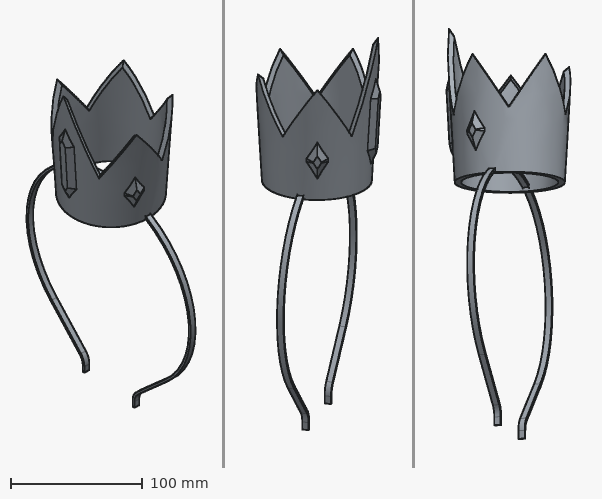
import cadquery as cq
import math

base_z = 192.8
crown_top_z = 314.5
base_radius = 41.8
top_radius = 48.8
base_inner_radius = 36.8
top_inner_radius = 45.0
peak_count = 5
side_peak_z = 284.7
valley_z = 242.5
front_angle = -90.0
peak_step = 360.0 / peak_count
cone_slope = (top_radius - base_radius) / (crown_top_z - base_z)
cut_clearance = 3.0

gem_height = 3.8
gem_root = 1.0
gem_half_width = 8.5
facet_half_width = 3.0
front_gem_z = 246.0
front_gem_tip = 37.0
front_gem_shoulder = 21.5
front_facet_tip = 25.5
front_facet_shoulder = 20.5
side_gem_z = 226.0
side_gem_tip = 17.5
side_gem_shoulder = 1.3
side_facet_tip = 5.5
side_facet_shoulder = 0.3

band_span = 185.3
band_thickness = 2.2
band_width = 5.0
band_center_z = 113.2
band_end_spacing = 56.3
bend_radius = 13.2
leg_angle = 45.0
band_radius = (band_span - band_thickness) / 2
band_end_x = band_end_spacing / 2


def cone_radius(z):
    """Outer radius of the crown at height z."""
    return base_radius + cone_slope * (z - base_z)


def radial_plane(angle, z=0.0, distance=0.0, tilt=0.0):
    """Plane facing outward at an angle about Z; its x is tangential, its y points up."""
    a = math.radians(angle)
    t = math.radians(tilt)
    return cq.Plane(
        origin=(distance * math.cos(a), distance * math.sin(a), z),
        xDir=(-math.sin(a), math.cos(a), 0),
        normal=(math.cos(a) * math.cos(t), math.sin(a) * math.cos(t), -math.sin(t)),
    )


def peak_height(index):
    """Peak 0 is the tall one at the front."""
    return crown_top_z if index % peak_count == 0 else side_peak_z


def make_outer_cone():
    height = crown_top_z - base_z
    return cq.Workplane("XY").add(
        cq.Solid.makeCone(base_radius, top_radius, height, cq.Vector(0, 0, base_z))
    )


def make_notch(index):
    """V-shaped cutter between peak `index` and the next one."""
    cut_top_z = crown_top_z + cut_clearance
    half_angle = math.radians(peak_step / 2)

    def reach(peak_z):
        """Sideways reach at the cutter's top of an edge running from the valley through a peak."""
        peak_offset = cone_radius(peak_z) * math.sin(half_angle)
        return peak_offset * (cut_top_z - valley_z) / (peak_z - valley_z)

    angle = front_angle + (index + 0.5) * peak_step
    return (
        cq.Workplane(radial_plane(angle))
        .moveTo(0, valley_z)
        .lineTo(reach(peak_height(index + 1)), cut_top_z)
        .lineTo(-reach(peak_height(index)), cut_top_z)
        .close()
        .extrude(top_radius + cut_clearance)
    )


def make_crown(band):
    crown = (
        cq.Workplane("XZ")
        .polyline([
            (base_inner_radius, base_z),
            (base_radius, base_z),
            (top_radius, crown_top_z),
            (top_inner_radius, crown_top_z),
        ])
        .close()
        .revolve(360, (0, 0, 0), (0, 1, 0))
    )
    for index in range(peak_count):
        crown = crown.cut(make_notch(index))
    return crown.cut(band)


def hexagon(half_width, shoulder, tip):
    """Upright hexagon with pointed ends and straight sides."""
    return [
        (0, tip),
        (half_width, shoulder),
        (half_width, -shoulder),
        (0, -tip),
        (-half_width, -shoulder),
        (-half_width, shoulder),
    ]


def make_gem(angle, z, girdle, facet):
    """Bevelled stone from its girdle outline up to its flat facet, trimmed to the crown surface."""
    tilt = math.degrees(math.atan(cone_slope))
    stone = (
        cq.Workplane(radial_plane(angle, z, cone_radius(z), tilt))
        .workplane(offset=-gem_root)
        .polyline(girdle)
        .close()
        .workplane(offset=gem_root + gem_height)
        .polyline(facet)
        .close()
        .loft(ruled=True)
    )
    return stone.cut(make_outer_cone())


def make_front_gem():
    girdle = hexagon(gem_half_width, front_gem_shoulder, front_gem_tip)
    facet = hexagon(facet_half_width, front_facet_shoulder, front_facet_tip)
    return make_gem(front_angle, front_gem_z, girdle, facet)


def make_side_gem(angle):
    girdle = hexagon(gem_half_width, side_gem_shoulder, side_gem_tip)
    facet = hexagon(facet_half_width, side_facet_shoulder, side_facet_tip)
    return make_gem(angle, side_gem_z, girdle, facet)


def make_headband():
    lean = math.radians(leg_angle)
    arc_end_x = band_radius * math.cos(lean)
    arc_end_z = band_center_z - band_radius * math.sin(lean)
    corner_z = arc_end_z - (arc_end_x - band_end_x) / math.tan(lean)
    bend_z = corner_z - bend_radius * math.tan(lean / 2)
    bend_x = band_end_x + bend_radius

    def bend_point(turn):
        return bend_x - bend_radius * math.cos(turn), bend_z + bend_radius * math.sin(turn)

    def mirrored(point):
        return -point[0], point[1]

    path = (
        cq.Workplane("XZ")
        .moveTo(-band_end_x, 0)
        .lineTo(-band_end_x, bend_z)
        .threePointArc(mirrored(bend_point(lean / 2)), mirrored(bend_point(lean)))
        .lineTo(-arc_end_x, arc_end_z)
        .threePointArc((0, band_center_z + band_radius), (arc_end_x, arc_end_z))
        .lineTo(*bend_point(lean))
        .threePointArc(bend_point(lean / 2), (band_end_x, bend_z))
        .lineTo(band_end_x, 0)
    )
    return (
        cq.Workplane("XY")
        .center(-band_end_x, 0)
        .rect(band_thickness, band_width)
        .sweep(path)
    )


headband = make_headband()
crown = make_crown(headband)
front_gem = make_front_gem()
side_gems = [make_side_gem(front_angle + side * peak_step) for side in (-1, 1)]

result = cq.Compound.makeCompound([
    crown.solids().val(),
    headband.val(),
    front_gem.solids().val(),
    *[gem.solids().val() for gem in side_gems],
])